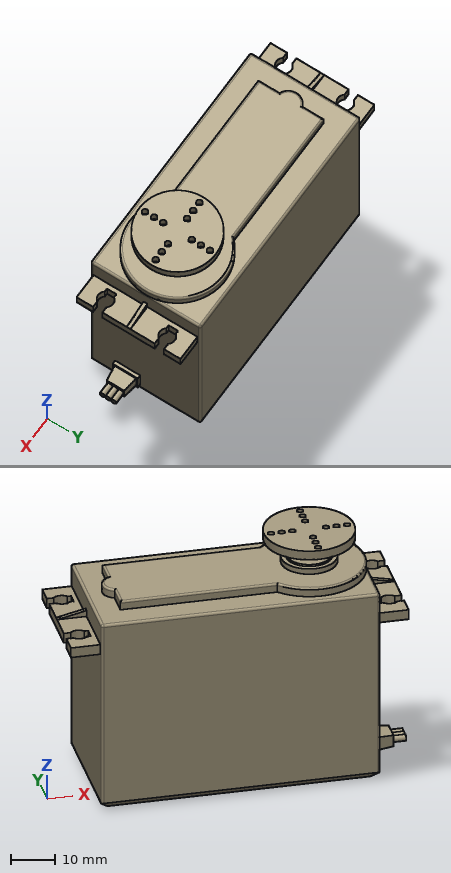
import cadquery as cq

CASE_LENGTH = 64.95
CASE_WIDTH = 30.0
CASE_HEIGHT = 48.0
CASE_EDGE_RADIUS = 0.6
CASE_FOOT_CHAMFER = 1.9
CASE_END_X = CASE_LENGTH / 2

COVER_HEIGHT = 2.2
COVER_END_RADIUS = 13.0
COVER_STRIP_WIDTH = 17.8
COVER_STRIP_INSET = 5.9
COVER_TAB_RADIUS = 3.35
COVER_TAB_INSET = 1.2
COVER_EDGE_RADIUS = 0.5
COVER_TOP_Z = CASE_HEIGHT + COVER_HEIGHT

OUTPUT_X = CASE_END_X - COVER_END_RADIUS
COLLAR_DIAMETER = 13.0
COLLAR_HEIGHT = 1.35
COLLAR_STEP_DIAMETER = 10.6
COLLAR_STEP_HEIGHT = 0.5
SHAFT_DIAMETER = 6.0
TOTAL_HEIGHT = 58.4
DISC_DIAMETER = 21.0
DISC_THICKNESS = 2.2
DISC_BOTTOM_Z = TOTAL_HEIGHT - DISC_THICKNESS

DISC_HOLE_DIAMETER = 1.5
DISC_HOLE_ROWS = 4
DISC_HOLES_PER_ROW = 3
DISC_FIRST_HOLE_RADIUS = 3.9
DISC_HOLE_SPACING = 2.5

FLANGE_LENGTH = 6.9
FLANGE_WIDTH = 28.4
FLANGE_THICKNESS = 2.5
FLANGE_TOP_Z = 42.6
FLANGE_OUTER_X = CASE_END_X + FLANGE_LENGTH

SLOT_LENGTH = 5.7
SLOT_WIDTH = 2.55
SLOT_HOLE_DIAMETER = 4.1
SLOT_HOLE_INSET = 3.2
SLOT_PITCH = 16.8
RIB_WIDTH = 1.0
RIB_HEIGHT = 1.5

CABLE_Y = -4.9
CABLE_Z = 5.3
OUTLET_BASE_LENGTH = 0.95
OUTLET_BASE_WIDTH = 6.9
OUTLET_BASE_HEIGHT = 4.4
SLEEVE_LENGTH = 4.0
SLEEVE_ROOT_WIDTH = 5.9
SLEEVE_ROOT_HEIGHT = 3.35
SLEEVE_TIP_WIDTH = 4.8
SLEEVE_TIP_HEIGHT = 2.9
SLEEVE_START_X = CASE_END_X + OUTLET_BASE_LENGTH
SLEEVE_END_X = SLEEVE_START_X + SLEEVE_LENGTH
WIRE_COUNT = 3
WIRE_DIAMETER = 1.5
TOTAL_LENGTH = 79.8
WIRE_END_X = TOTAL_LENGTH - FLANGE_OUTER_X


def make_case():
    case = cq.Workplane("XY").box(CASE_LENGTH, CASE_WIDTH, CASE_HEIGHT, centered=(True, True, False))
    case = case.faces("<Z").chamfer(CASE_FOOT_CHAMFER)
    return case.edges("|Z").fillet(CASE_EDGE_RADIUS).faces(">Z").edges().fillet(CASE_EDGE_RADIUS)


def make_cover():
    strip_start_x = -CASE_END_X + COVER_STRIP_INSET
    strip_length = OUTPUT_X - strip_start_x
    base = cq.Workplane("XY", origin=(0, 0, CASE_HEIGHT))
    strip = (
        base.center(strip_start_x + strip_length / 2, 0)
        .rect(strip_length, COVER_STRIP_WIDTH)
        .extrude(COVER_HEIGHT)
    )
    round_end = base.center(OUTPUT_X, 0).circle(COVER_END_RADIUS).extrude(COVER_HEIGHT)
    tab = base.center(strip_start_x + COVER_TAB_INSET, 0).circle(COVER_TAB_RADIUS).extrude(COVER_HEIGHT)
    cover = strip.union(round_end).union(tab)
    return cover.faces(">Z").edges().fillet(COVER_EDGE_RADIUS)


def make_output():
    collar = (
        cq.Workplane("XY", origin=(OUTPUT_X, 0, COVER_TOP_Z))
        .circle(COLLAR_DIAMETER / 2)
        .extrude(COLLAR_HEIGHT)
        .faces(">Z").workplane()
        .circle(COLLAR_STEP_DIAMETER / 2)
        .extrude(COLLAR_STEP_HEIGHT)
    )
    shaft = (
        cq.Workplane("XY", origin=(OUTPUT_X, 0, COVER_TOP_Z))
        .circle(SHAFT_DIAMETER / 2)
        .extrude(DISC_BOTTOM_Z - COVER_TOP_Z)
    )
    disc = (
        cq.Workplane("XY", origin=(OUTPUT_X, 0, DISC_BOTTOM_Z))
        .circle(DISC_DIAMETER / 2)
        .extrude(DISC_THICKNESS)
    )
    for ring in range(DISC_HOLES_PER_ROW):
        radius = DISC_FIRST_HOLE_RADIUS + ring * DISC_HOLE_SPACING
        holes = (
            cq.Workplane("XY", origin=(OUTPUT_X, 0, DISC_BOTTOM_Z))
            .polarArray(radius, 0, 360, DISC_HOLE_ROWS)
            .circle(DISC_HOLE_DIAMETER / 2)
            .extrude(DISC_THICKNESS)
        )
        disc = disc.cut(holes)
    return collar.union(shaft).union(disc)


def make_flange():
    """The flange on the +X end, with its slots and rib."""
    base = cq.Workplane("XY", origin=(0, 0, FLANGE_TOP_Z - FLANGE_THICKNESS))
    flange = (
        base.center(CASE_END_X + FLANGE_LENGTH / 2, 0)
        .rect(FLANGE_LENGTH, FLANGE_WIDTH)
        .extrude(FLANGE_THICKNESS)
    )
    for slot_y in (-SLOT_PITCH / 2, SLOT_PITCH / 2):
        slot = (
            base.center(FLANGE_OUTER_X - SLOT_LENGTH / 2, slot_y)
            .rect(SLOT_LENGTH, SLOT_WIDTH)
            .extrude(FLANGE_THICKNESS)
        )
        hole = (
            base.center(FLANGE_OUTER_X - SLOT_HOLE_INSET, slot_y)
            .circle(SLOT_HOLE_DIAMETER / 2)
            .extrude(FLANGE_THICKNESS)
        )
        flange = flange.cut(slot).cut(hole)
    rib = (
        cq.Workplane("XZ")
        .moveTo(CASE_END_X, FLANGE_TOP_Z)
        .lineTo(FLANGE_OUTER_X, FLANGE_TOP_Z)
        .lineTo(CASE_END_X, FLANGE_TOP_Z + RIB_HEIGHT)
        .close()
        .extrude(RIB_WIDTH / 2, both=True)
    )
    return flange.union(rib)


def make_cable_outlet():
    base = (
        cq.Workplane("YZ", origin=(CASE_END_X, CABLE_Y, CABLE_Z))
        .rect(OUTLET_BASE_WIDTH, OUTLET_BASE_HEIGHT)
        .extrude(OUTLET_BASE_LENGTH)
    )
    sleeve = (
        cq.Workplane("YZ", origin=(SLEEVE_START_X, CABLE_Y, CABLE_Z))
        .rect(SLEEVE_ROOT_WIDTH, SLEEVE_ROOT_HEIGHT)
        .workplane(offset=SLEEVE_LENGTH)
        .rect(SLEEVE_TIP_WIDTH, SLEEVE_TIP_HEIGHT)
        .loft(ruled=True)
    )
    return base.union(sleeve)


def make_housing():
    flange = make_flange()
    return (
        make_case()
        .union(make_cover())
        .union(make_output())
        .union(flange)
        .union(flange.mirror("YZ"))
        .union(make_cable_outlet())
    )


def make_wire(index):
    """One wire of the flat cable, starting on the sleeve's end face and touching its neighbours."""
    wire_y = CABLE_Y + (index - (WIRE_COUNT - 1) / 2) * WIRE_DIAMETER
    return (
        cq.Workplane("YZ", origin=(SLEEVE_END_X, wire_y, CABLE_Z))
        .circle(WIRE_DIAMETER / 2)
        .extrude(WIRE_END_X - SLEEVE_END_X)
    )


housing = make_housing().solids()
wires = [make_wire(index) for index in range(WIRE_COUNT)]

result = cq.Compound.makeCompound([housing.val(), *[wire.val() for wire in wires]])